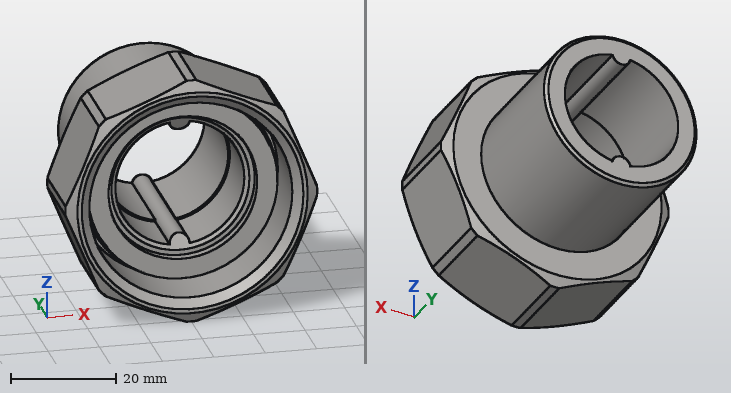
import cadquery as cq
import math


nut_corner_radius = 24.5
nut_length = 17.75
nut_sides = 8
corner_land = 1.9
nut_face_radius = 22.4
nut_chamfer_length = 1.1
mouth_radius = 21.55
recess_radius = 19.75
mouth_chamfer_length = 1.5

gasket_front = 8.35
gasket_thickness = 2.1
gasket_outer_radius = 18.4
gasket_inner_radius = 14.45

fitting_length = 43.5
tube_radius = 16.4
flange_radius = 18.8
flange_thickness = 3.45
tail_chamfer_radial = 0.7
tail_chamfer_length = 0.55
bore_radius = 12.55
entry_radius = 13.45
entry_length = 0.5
narrow_bore_radius = 12.2
narrow_bore_start = 23.28
rib_radius = 1.95
rib_center_offset = 12.45

flange_front = gasket_front + gasket_thickness
flange_back = flange_front + flange_thickness


def revolve_about_y(points):
    """Revolve a closed (radius, y) outline about the Y axis."""
    return cq.Workplane("XY").polyline(points).close().revolve(360, (0, 0, 0), (0, 1, 0))


def along_y(sketch_plane, start, length):
    """Extrude a sketch on an XZ plane from y = start in the +Y direction."""
    return sketch_plane.extrude(-length).translate((0, start, 0))


def make_nut():
    land_half_angle = math.asin(corner_land / 2 / nut_corner_radius)
    flat_distance = nut_corner_radius * math.cos(math.pi / nut_sides - land_half_angle)
    octagon_diameter = 2 * flat_distance / math.cos(math.pi / nut_sides)
    octagon = along_y(cq.Workplane("XZ").polygon(nut_sides, octagon_diameter), 0, nut_length)

    envelope = revolve_about_y([
        (0, 0),
        (nut_face_radius, 0),
        (nut_corner_radius, nut_chamfer_length),
        (nut_corner_radius, nut_length - nut_chamfer_length),
        (nut_face_radius, nut_length),
        (0, nut_length),
    ])

    stepped_bore = revolve_about_y([
        (0, 0),
        (mouth_radius, 0),
        (recess_radius, mouth_chamfer_length),
        (recess_radius, flange_back),
        (tube_radius, flange_back),
        (tube_radius, nut_length),
        (0, nut_length),
    ])
    return octagon.intersect(envelope).cut(stepped_bore)


def make_gasket():
    ring = cq.Workplane("XZ").circle(gasket_outer_radius).circle(gasket_inner_radius)
    return along_y(ring, gasket_front, gasket_thickness)


def make_sleeve():
    sleeve = revolve_about_y([
        (bore_radius, flange_front),
        (flange_radius, flange_front),
        (flange_radius, flange_back),
        (tube_radius, flange_back),
        (tube_radius, fitting_length - tail_chamfer_length),
        (tube_radius - tail_chamfer_radial, fitting_length),
        (narrow_bore_radius, fitting_length),
        (narrow_bore_radius, narrow_bore_start),
        (bore_radius, narrow_bore_start),
    ])

    for side in (-1, 1):
        rib = cq.Workplane("XZ").center(0, side * rib_center_offset).circle(rib_radius)
        sleeve = sleeve.union(along_y(rib, flange_front, fitting_length - flange_front))

    cone_depth = entry_length * entry_radius / (entry_radius - bore_radius)
    entry_cone = revolve_about_y([
        (0, flange_front),
        (entry_radius, flange_front),
        (0, flange_front + cone_depth),
    ])
    return sleeve.cut(entry_cone)


nut = make_nut()
gasket = make_gasket()
sleeve = make_sleeve()

result = cq.Compound.makeCompound([nut.val(), gasket.val(), sleeve.val()])